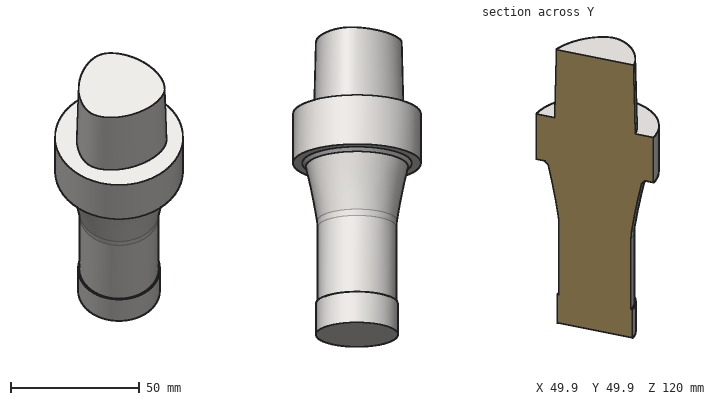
import cadquery as cq
import math

total_height = 120.0
shank_height = 30.0
flange_height = 20.0
flange_top = total_height - shank_height
flange_bottom = flange_top - flange_height
neck_bottom = 46.5
stem_top = 43.9
collar_height = 12.6

flange_radius = 49.9 / 2
collar_radius = 32.0 / 2
stem_radius = 30.8 / 2
neck_top_radius = 19.9
neck_bottom_radius = 15.6
neck_sag = 0.2
chamfer_size = 1.5

shank_base_diameter = 35.0
shank_taper = 1 / 20
shank_top_diameter = shank_base_diameter - shank_taper * shank_height
lobe_size = 1.12
points_per_lobe = 12
lobes = 3


def turned_body():
    """Revolve the collar, stem, flared neck and flange about Z."""
    neck_top = flange_bottom - chamfer_size
    neck_middle = (
        (neck_top_radius + neck_bottom_radius) / 2 - neck_sag,
        (neck_top + neck_bottom) / 2,
    )
    profile = (
        cq.Workplane("XZ")
        .lineTo(collar_radius, 0)
        .lineTo(collar_radius, collar_height)
        .lineTo(stem_radius, collar_height)
        .lineTo(stem_radius, stem_top)
        .lineTo(neck_bottom_radius, neck_bottom)
        .threePointArc(neck_middle, (neck_top_radius, neck_top))
        .lineTo(neck_top_radius + chamfer_size, flange_bottom)
        .lineTo(flange_radius, flange_bottom)
        .lineTo(flange_radius, flange_top)
        .lineTo(0, flange_top)
        .close()
    )
    return profile.revolve(360, (0, 0, 0), (0, 1, 0))


def lobed_point(diameter, angle):
    """Point on the lobed outline, with one lobe pointing to -Y."""
    across = diameter / 2 * math.sin(angle) + lobe_size * (2 * math.sin(2 * angle) + math.sin(4 * angle))
    along = diameter / 2 * math.cos(angle) - lobe_size * (2 * math.cos(2 * angle) - math.cos(4 * angle))
    return across, along


def lobed_outline(diameter):
    count = points_per_lobe * lobes
    return [lobed_point(diameter, 2 * math.pi * step / count) for step in range(count)]


def lobed_shank():
    """Loft the shank between its base and its smaller top outline."""
    return (
        cq.Workplane("XY", origin=(0, 0, flange_top))
        .spline(lobed_outline(shank_base_diameter), periodic=True)
        .close()
        .workplane(offset=shank_height)
        .spline(lobed_outline(shank_top_diameter), periodic=True)
        .close()
        .loft(ruled=True)
    )


result = turned_body().union(lobed_shank())